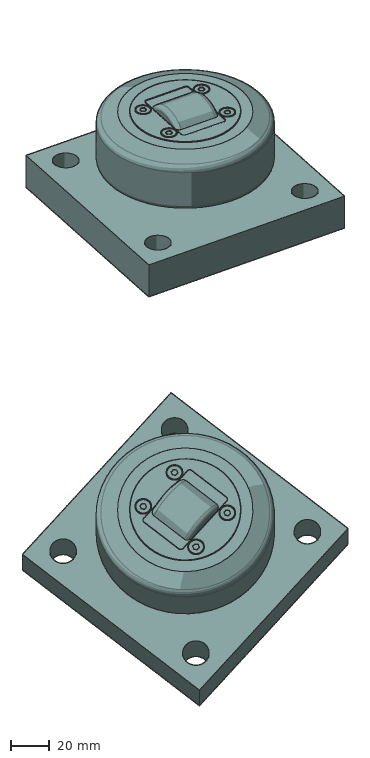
import cadquery as cq
import math

plate_side = 120.0
plate_height = 20.0
hole_diameter = 13.8
hole_spacing = 90.0

collar_diameter = 59.0
roller_diameter = 92.6
roller_bottom = 30.0
roller_top = 60.4
bottom_edge_radius = 2.0
crown_flat_diameter = 70.2
crown_slope = math.radians(22)
crown_edge_radius = 4.0

cap_diameter = 57.8
cap_top = 60.8
cap_chamfer = 0.2

total_height = 66.1
cross_roller_radius = 17.4
cross_roller_width = 26.2
cross_roller_edge_radius = 2.6
window_length = 38.4
window_width = 26.6
window_depth = 0.6
window_corner_radius = 1.5

screw_spacing_x = 25.2
screw_spacing_y = 35.8
screw_seat_diameter = 8.6
screw_head_diameter = 7.8
screw_seat_depth = 0.5
socket_across_corners = 3.5
socket_depth = 0.5


def make_plate():
    plate = cq.Workplane("XY").box(plate_side, plate_side, plate_height, centered=(True, True, False))
    return (
        plate.faces(">Z").workplane()
        .rect(hole_spacing, hole_spacing, forConstruction=True).vertices()
        .hole(hole_diameter)
    )


def make_main_roller():
    """Collar, rounded roller with a conical crown, and cap as one turned body."""
    outer = roller_diameter / 2
    collar = collar_diameter / 2
    cap = cap_diameter / 2
    crown_flat = crown_flat_diameter / 2
    crown_edge = outer - crown_edge_radius * (1 - math.sin(crown_slope))
    crown_edge_height = roller_top - (crown_edge - crown_flat) * math.tan(crown_slope)
    crown_side_height = crown_edge_height - crown_edge_radius * math.cos(crown_slope)
    return (
        cq.Workplane("XZ")
        .moveTo(0, plate_height)
        .lineTo(collar, plate_height)
        .lineTo(collar, roller_bottom)
        .lineTo(outer - bottom_edge_radius, roller_bottom)
        .radiusArc((outer, roller_bottom + bottom_edge_radius), -bottom_edge_radius)
        .lineTo(outer, crown_side_height)
        .radiusArc((crown_edge, crown_edge_height), -crown_edge_radius)
        .lineTo(crown_flat, roller_top)
        .lineTo(cap, roller_top)
        .lineTo(cap, cap_top - cap_chamfer)
        .lineTo(cap - cap_chamfer, cap_top)
        .lineTo(0, cap_top)
        .close()
        .revolve(360, (0, 0, 0), (0, 1, 0))
    )


def make_window():
    return (
        cq.Workplane("XY", origin=(0, 0, cap_top - window_depth))
        .rect(window_length, window_width)
        .extrude(window_depth)
        .edges("|Z").fillet(window_corner_radius)
    )


def make_cross_roller():
    """Roller lying along Y, mostly sunk into the main roller."""
    axis_height = total_height - cross_roller_radius
    return (
        cq.Workplane("XZ", origin=(0, 0, axis_height))
        .circle(cross_roller_radius)
        .extrude(cross_roller_width / 2, both=True)
        .edges().fillet(cross_roller_edge_radius)
    )


def screw_positions():
    return (
        cq.Workplane("XY", origin=(0, 0, cap_top))
        .rect(screw_spacing_x, screw_spacing_y, forConstruction=True)
        .vertices()
    )


def make_screw_seats():
    """Shallow ring around each screw head."""
    seats = screw_positions().circle(screw_seat_diameter / 2).extrude(-screw_seat_depth)
    heads = screw_positions().circle(screw_head_diameter / 2).extrude(-screw_seat_depth)
    return seats.cut(heads)


def make_screw_sockets():
    return screw_positions().polygon(6, socket_across_corners).extrude(-socket_depth)


body = make_plate().union(make_main_roller())
body = body.cut(make_screw_seats()).cut(make_screw_sockets())
result = body.cut(make_window()).union(make_cross_roller())